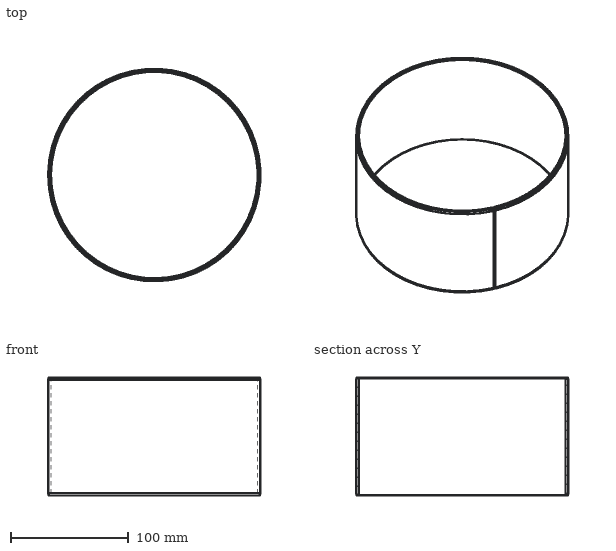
import cadquery as cq

outer_diameter = 180.0
wall = 2.5
height = 100.0
slit_angle = 1.0

outer_chamfer_radial = 0.7
outer_chamfer_axial = 2.2

bore_chamfer_radial = 0.4
bore_chamfer_axial = 0.7

outer_radius = outer_diameter / 2
inner_radius = outer_radius - wall
end_face_outer = outer_radius - outer_chamfer_radial
end_face_inner = inner_radius + bore_chamfer_radial

wall_section = (
    cq.Workplane("XZ")
    .moveTo(-inner_radius, bore_chamfer_axial)
    .lineTo(-end_face_inner, 0)
    .lineTo(-end_face_outer, 0)
    .lineTo(-outer_radius, outer_chamfer_axial)
    .lineTo(-outer_radius, height - outer_chamfer_axial)
    .lineTo(-end_face_outer, height)
    .lineTo(-end_face_inner, height)
    .lineTo(-inner_radius, height - bore_chamfer_axial)
    .close()
)

axis_start = (0, 0, 0)
axis_end = (0, 1, 0)
result = wall_section.revolve(360 - slit_angle, axis_start, axis_end)